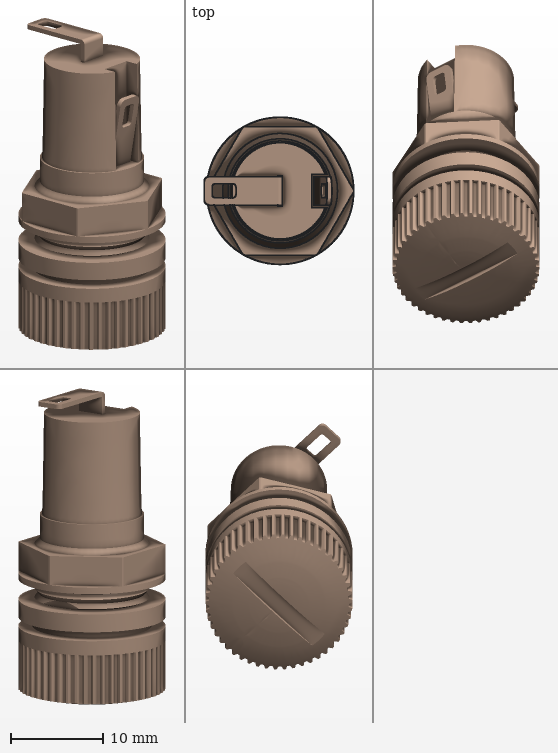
import cadquery as cq
import math

total_height = 34.18
dome_height = 1.03
knurl_top = 6.43
cap_top = 8.0
flange_bottom = 9.0
flange_top = 10.97
first_crest = 11.18
thread_pitch = 1.03
washer_bottom = first_crest + 2 * thread_pitch
nut_bottom = 13.95
nut_top = 17.15
collar_bottom = 17.77
collar_top = 20.45
body_top = 31.7

outer_radius = 16.0 / 2
neck_radius = 13.0 / 2
crest_radius = 12.48 / 2
root_radius = 11.62 / 2
collar_radius = 11.3 / 2
body_bottom_radius = 10.85 / 2
body_top_radius = 10.45 / 2
nut_across_flats = 13.95

groove_count = 50
groove_width = 0.75
groove_floor = 0.3
groove_depth = 0.4
first_groove_angle = 4.8

driver_slot_width = 1.95
driver_slot_depth = 0.55

thread_flat_distance = 5.78

sheet = 0.5
terminal_width = 3.08
eye_length = 2.6
eye_width = 1.5
eye_corner = 0.35
eye_margin = 0.85

lug_reach = 8.25
lug_corner = 0.5
lug_bend_radius = 0.48
lug_pocket_width = 3.3
lug_pocket_depth = 0.5

notch_start = 3.42
notch_width = 3.62
side_tip_x = 5.1
side_tip_z = 28.5
side_corner = 0.75
side_lean = 10.0
side_root_depth = 0.35


def make_turned_core():
    """Cap, flange, ring thread, collar and tapered body as one revolved outline."""
    flat_radius = driver_slot_width / 2
    rise = dome_height
    run = outer_radius - flat_radius
    dome_radius = (run**2 + rise**2) / (2 * rise)
    half_angle = math.asin(run / dome_radius) / 2
    dome_middle = (
        flat_radius + dome_radius * math.sin(half_angle),
        dome_radius * (1 - math.cos(half_angle)),
    )
    outline = (
        cq.Workplane("XZ")
        .lineTo(flat_radius, 0)
        .threePointArc(dome_middle, (outer_radius, dome_height))
        .lineTo(outer_radius, cap_top)
        .lineTo(neck_radius, cap_top)
        .lineTo(neck_radius, flange_bottom)
        .lineTo(outer_radius, flange_bottom)
        .lineTo(outer_radius, flange_top)
        .lineTo(root_radius, flange_top)
        .lineTo(crest_radius, first_crest)
    )
    for ring in range(2):
        crest = first_crest + ring * thread_pitch
        outline = outline.lineTo(root_radius, crest + thread_pitch / 2)
        outline = outline.lineTo(crest_radius, crest + thread_pitch)
    return (
        outline.lineTo(outer_radius, washer_bottom)
        .lineTo(outer_radius, nut_bottom)
        .lineTo(crest_radius, nut_bottom)
        .lineTo(crest_radius, nut_top)
        .lineTo(collar_radius, collar_bottom)
        .lineTo(collar_radius, collar_top)
        .lineTo(body_bottom_radius, collar_top)
        .lineTo(body_top_radius, body_top)
        .lineTo(0, body_top)
        .close()
        .revolve(360, (0, 0, 0), (0, 1, 0))
    )


def make_nut():
    """Hexagon with corners on the X axis, trimmed to the outer diameter."""
    height = nut_top - nut_bottom
    across_corners = nut_across_flats / math.cos(math.pi / 6)
    hexagon = cq.Workplane("XY").workplane(offset=nut_bottom).polygon(6, across_corners).extrude(height)
    trim = cq.Workplane("XY").workplane(offset=nut_bottom).circle(outer_radius).extrude(height)
    return hexagon.intersect(trim)


def make_knurl_grooves():
    """Flat-floored grooves between the ribs of the cap, open at the dome."""
    flare = (groove_width - groove_floor) / 2
    floor_radius = outer_radius - groove_depth
    groove = (
        cq.Workplane("XY")
        .moveTo(floor_radius, groove_floor / 2)
        .lineTo(outer_radius + groove_depth, groove_floor / 2 + 2 * flare)
        .lineTo(outer_radius + groove_depth, -groove_floor / 2 - 2 * flare)
        .lineTo(floor_radius, -groove_floor / 2)
        .close()
        .extrude(knurl_top)
        .val()
    )
    step = 360 / groove_count
    origin = cq.Vector(0, 0, 0)
    axis = cq.Vector(0, 0, 1)
    angles = [first_groove_angle + i * step for i in range(groove_count)]
    return cq.Compound.makeCompound([groove.rotate(origin, axis, angle) for angle in angles])


def make_thread_flat():
    """Block that flattens the lowest thread ring on its -X side."""
    height = first_crest + thread_pitch / 2 - flange_top
    depth = crest_radius
    return (
        cq.Workplane("XY")
        .box(depth, 2 * crest_radius, height, centered=(False, True, False))
        .translate((-thread_flat_distance - depth, 0, flange_top))
    )


def make_eye(depth):
    """Rounded slot cutter starting one margin from X = 0 and running toward +X."""
    return (
        cq.Workplane("XY")
        .box(eye_length, eye_width, depth, centered=(False, True, False))
        .edges("|Z")
        .fillet(eye_corner)
        .translate((eye_margin, 0, 0))
    )


def make_blade(length, corner):
    """Flat terminal with its rounded tip at X = 0, running toward +X, with an eye near the tip."""
    blade = (
        cq.Workplane("XY")
        .box(length, terminal_width, sheet, centered=(False, True, False))
        .edges("|Z and <X")
        .fillet(corner)
    )
    return blade.cut(make_eye(sheet))


def make_lug():
    """Terminal that rises from the body top and bends toward -X."""
    blade = make_blade(lug_reach + sheet / 2, lug_corner).translate((-lug_reach, 0, total_height - sheet))
    leg_bottom = body_top - lug_pocket_depth
    leg = (
        cq.Workplane("XY")
        .box(sheet, terminal_width, total_height - leg_bottom, centered=(True, True, False))
        .translate((0, 0, leg_bottom))
    )
    return blade.union(leg).edges("|Y and >X and >Z").fillet(lug_bend_radius)


def make_side_terminal():
    """Terminal that stands on the notch floor and leans out toward +X."""
    length = (side_tip_z - collar_top + side_root_depth) / math.cos(math.radians(side_lean))
    return (
        make_blade(length, side_corner)
        .rotate((0, 0, 0), (0, 1, 0), 90 + side_lean)
        .translate((side_tip_x, 0, side_tip_z))
    )


def make_notch():
    """Side opening of the body, from its top down to the collar."""
    return (
        cq.Workplane("XY")
        .box(collar_radius, notch_width, body_top - collar_top, centered=(False, True, False))
        .translate((notch_start, 0, collar_top))
    )


def make_lug_pocket():
    """Shallow pocket in the body top around the foot of the lug."""
    return (
        cq.Workplane("XY")
        .box(sheet, lug_pocket_width, lug_pocket_depth, centered=(True, True, False))
        .translate((0, 0, body_top - lug_pocket_depth))
    )


def make_driver_slot():
    """Straight slot along Y across the dome of the cap."""
    return cq.Workplane("XY").box(
        driver_slot_width, 2 * outer_radius, driver_slot_depth, centered=(True, True, False)
    )


result = (
    make_turned_core()
    .union(make_nut())
    .cut(make_thread_flat())
    .cut(cq.Workplane(make_knurl_grooves()))
    .cut(make_driver_slot())
    .cut(make_notch())
    .cut(make_lug_pocket())
    .union(make_lug())
    .union(make_side_terminal())
)